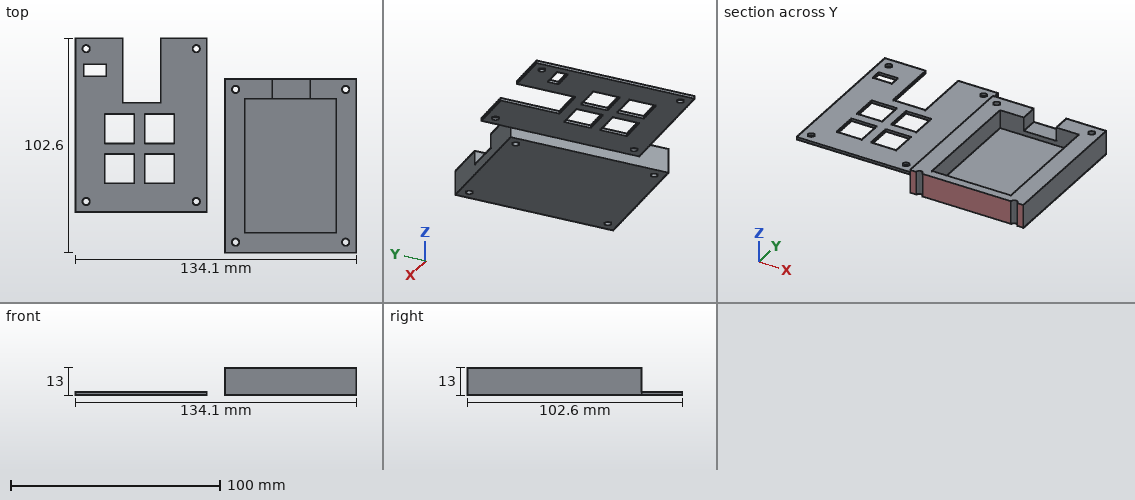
import cadquery as cq

total_length = 134.1
total_depth = 102.6

body_width = 62.8
body_depth = 83.1
plate_thickness = 1.5
case_height = 13.0

plate_x = 0.0
plate_y = total_depth - body_depth
case_x = total_length - body_width
case_y = 0.0

screw_diameter = 3.4
screw_inset = 5.1

notch_left = 22.7
notch_width = 18.0
plate_notch_length = 30.8
case_notch_depth = 7.5

key_size = 14.0
key_pitch = 19.0
key_left = 14.1
key_front = 13.8
keys_per_side = 2

window_width = 10.6
window_length = 5.6
window_left = 4.0
window_rear_gap = 12.6

wall = 9.5
pocket_depth = 10.0


def block(x, y, z, width, depth, height):
    """Box with its lower front-left corner at (x, y, z)."""
    return cq.Workplane("XY").box(width, depth, height, centered=False).translate((x, y, z))


def screw_holes(height):
    """Four cylinders at the corners of the footprint."""
    columns = (screw_inset, body_width - screw_inset)
    rows = (screw_inset, body_depth - screw_inset)
    centers = [(x, y) for x in columns for y in rows]
    return cq.Workplane("XY").pushPoints(centers).circle(screw_diameter / 2).extrude(height)


def make_plate():
    plate = block(0, 0, 0, body_width, body_depth, plate_thickness)
    plate = plate.cut(screw_holes(plate_thickness))

    notch_front = body_depth - plate_notch_length
    plate = plate.cut(block(notch_left, notch_front, 0, notch_width, plate_notch_length, plate_thickness))

    window_front = body_depth - window_rear_gap - window_length
    plate = plate.cut(block(window_left, window_front, 0, window_width, window_length, plate_thickness))

    for column in range(keys_per_side):
        for row in range(keys_per_side):
            key_x = key_left + column * key_pitch
            key_y = key_front + row * key_pitch
            plate = plate.cut(block(key_x, key_y, 0, key_size, key_size, plate_thickness))

    return plate.translate((plate_x, plate_y, 0))


def make_case():
    case = block(0, 0, 0, body_width, body_depth, case_height)
    case = case.cut(screw_holes(case_height))

    pocket_width = body_width - 2 * wall
    pocket_length = body_depth - 2 * wall
    pocket_floor = case_height - pocket_depth
    case = case.cut(block(wall, wall, pocket_floor, pocket_width, pocket_length, pocket_depth))

    notch_floor = case_height - case_notch_depth
    case = case.cut(block(notch_left, body_depth - wall, notch_floor, notch_width, wall, case_notch_depth))

    return case.translate((case_x, case_y, 0))


plate = make_plate()
case = make_case()

result = cq.Compound.makeCompound([plate.solids().val(), case.solids().val()])